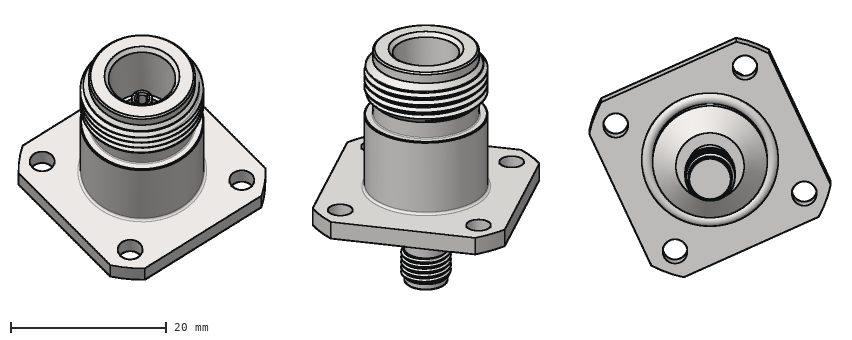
import cadquery as cq
import math

TOTAL_HEIGHT = 33.53

FLANGE_WIDTH = 25.4
FLANGE_CORNER_RADIUS = 15.9
FLANGE_BOTTOM = 11.25
FLANGE_THICKNESS = 2.4
FLANGE_TOP = FLANGE_BOTTOM + FLANGE_THICKNESS
MOUNTING_HOLE_DIAMETER = 3.2
MOUNTING_HOLE_SPACING = 18.27

BARREL_RADIUS = 7.95
BARREL_TOP = 24.1
BARREL_EDGE_CHAMFER = 0.15
BARREL_BASE_FILLET = 0.35
SLEEVE_RADIUS = 6.85
SLEEVE_BASE_FILLET = 0.15
SLEEVE_EDGE_CHAMFER = 0.25

LARGE_THREAD_BOTTOM = 26.4
LARGE_THREAD_TOP = 32.05
LARGE_THREAD_PITCH = 1.055
LARGE_THREAD_ROOT_RADIUS = 7.35
LARGE_THREAD_CREST_WIDTH = 0.15
LARGE_THREAD_CREST_HEIGHT = 27.8

SOCKET_MOUTH_RADIUS = 4.83
SOCKET_CHAMFER = 0.55
SOCKET_TOP_RADIUS = SOCKET_MOUTH_RADIUS - SOCKET_CHAMFER
SOCKET_SHOULDER_RADIUS = 4.02
SOCKET_SHOULDER_DEPTH = 9.0
SOCKET_BORE_RADIUS = 3.5
SOCKET_DEPTH = 13.4

CONTACT_RADIUS = 1.3
CONTACT_TIP_DEPTH = 4.7
CONTACT_HOLE_RADIUS = 0.75
CONTACT_HOLE_DEPTH = 4.02
CONTACT_HOLE_CHAMFER = 0.25
CONTACT_SLOT_WIDTH = 0.1
CONTACT_SLOT_DEPTH = 3.35

HUB_RADIUS = 7.38
HUB_BOTTOM = 9.95
CONE_END_RADIUS = 4.4
CONE_BOTTOM = 7.4

NECK_RADIUS = 2.8
NECK_END_CHAMFER = 0.17
SMALL_THREAD_BOTTOM = 0.87
SMALL_THREAD_TOP = 4.65
SMALL_THREAD_PITCH = 0.7
SMALL_THREAD_RADIUS = 3.22
SMALL_THREAD_ROOT_RADIUS = 2.85
SMALL_THREAD_CREST_WIDTH = 0.1
SMALL_THREAD_CREST_HEIGHT = 1.07

THREAD_FLANK_ANGLE = 30.0
THREAD_SINK = 0.1

RING_SECTION_RADIUS = 0.7
RING_CENTRE_RADIUS = 8.08


def disc(radius, bottom, top):
    """Upright cylinder on the Z axis between two heights."""
    return cq.Workplane("XY").workplane(offset=bottom).circle(radius).extrude(top - bottom)


def revolve_outline(outline):
    """Turn a closed outline of (radius, height) points about the Z axis."""
    return cq.Workplane("XZ").polyline(outline).close().revolve(360, (0, 0, 0), (0, 1, 0))


def threaded_collar(bottom, top, crest_radius, root_radius, end_radius, pitch, crest_width, crest_height):
    """A collar with 45 degree ends that carries a right-handed helical thread."""
    flank_slope = math.tan(math.radians(THREAD_FLANK_ANGLE))
    base_radius = root_radius - THREAD_SINK
    crest_half_width = crest_width / 2
    base_half_width = crest_half_width + (crest_radius - base_radius) * flank_slope

    start = crest_height - math.ceil((crest_height - bottom) / pitch) * pitch
    turns = math.ceil((top - start) / pitch) + 0.5
    helix = cq.Wire.makeHelix(pitch, turns * pitch, base_radius, center=cq.Vector(0, 0, start))
    tooth = (
        cq.Workplane("XZ")
        .polyline([
            (base_radius, start - base_half_width),
            (crest_radius, start - crest_half_width),
            (crest_radius, start + crest_half_width),
            (base_radius, start + base_half_width),
        ])
        .close()
        .sweep(cq.Workplane(helix), isFrenet=True)
    )
    core = disc(root_radius, start - 2 * pitch, start + (turns + 2) * pitch)

    envelope_radius = crest_radius + THREAD_SINK
    end_length = envelope_radius - end_radius
    envelope = revolve_outline([
        (0, bottom),
        (end_radius, bottom),
        (envelope_radius, bottom + end_length),
        (envelope_radius, top - end_length),
        (end_radius, top),
        (0, top),
    ])
    return core.union(tooth).intersect(envelope)


def make_flange():
    square = (
        cq.Workplane("XY")
        .workplane(offset=FLANGE_BOTTOM)
        .rect(FLANGE_WIDTH, FLANGE_WIDTH)
        .extrude(FLANGE_THICKNESS)
    )
    flange = square.intersect(disc(FLANGE_CORNER_RADIUS, FLANGE_BOTTOM, FLANGE_TOP))
    return (
        flange.faces(">Z")
        .workplane(origin=(0, 0, FLANGE_TOP))
        .rect(MOUNTING_HOLE_SPACING, MOUNTING_HOLE_SPACING, forConstruction=True)
        .vertices()
        .hole(MOUNTING_HOLE_DIAMETER)
    )


def concave_fillet(radius, height, size):
    """Ring filling the corner between an upright cylinder and the face below it."""
    middle = size * (1 - math.sqrt(0.5))
    return (
        cq.Workplane("XZ")
        .moveTo(0, height)
        .lineTo(radius + size, height)
        .threePointArc((radius + middle, height + middle), (radius, height + size))
        .lineTo(0, height + size)
        .close()
        .revolve(360, (0, 0, 0), (0, 1, 0))
    )


def make_barrel():
    barrel = disc(BARREL_RADIUS, FLANGE_TOP, BARREL_TOP).faces(">Z").edges().chamfer(BARREL_EDGE_CHAMFER)
    sleeve = disc(SLEEVE_RADIUS, BARREL_TOP, TOTAL_HEIGHT).faces(">Z").edges().chamfer(SLEEVE_EDGE_CHAMFER)
    thread = threaded_collar(
        LARGE_THREAD_BOTTOM, LARGE_THREAD_TOP, BARREL_RADIUS, LARGE_THREAD_ROOT_RADIUS, SLEEVE_RADIUS,
        LARGE_THREAD_PITCH, LARGE_THREAD_CREST_WIDTH, LARGE_THREAD_CREST_HEIGHT,
    )
    return (
        barrel.union(sleeve)
        .union(concave_fillet(BARREL_RADIUS, FLANGE_TOP, BARREL_BASE_FILLET))
        .union(concave_fillet(SLEEVE_RADIUS, BARREL_TOP, SLEEVE_BASE_FILLET))
        .union(thread)
    )


def make_socket():
    """The hollow of the large connector: chamfered mouth, tapered bore and a narrower bore below."""
    floor = TOTAL_HEIGHT - SOCKET_DEPTH
    shoulder = TOTAL_HEIGHT - SOCKET_SHOULDER_DEPTH
    return revolve_outline([
        (0, floor),
        (SOCKET_BORE_RADIUS, floor),
        (SOCKET_BORE_RADIUS, shoulder),
        (SOCKET_SHOULDER_RADIUS, shoulder),
        (SOCKET_TOP_RADIUS, TOTAL_HEIGHT - SOCKET_CHAMFER),
        (SOCKET_MOUTH_RADIUS, TOTAL_HEIGHT),
        (0, TOTAL_HEIGHT),
    ])


def make_contact():
    """Centre contact with a countersunk hole and two crossing slots that split its tip in four."""
    tip = TOTAL_HEIGHT - CONTACT_TIP_DEPTH
    contact = disc(CONTACT_RADIUS, TOTAL_HEIGHT - SOCKET_DEPTH, tip)
    hole = revolve_outline([
        (0, tip - CONTACT_HOLE_DEPTH),
        (CONTACT_HOLE_RADIUS, tip - CONTACT_HOLE_DEPTH),
        (CONTACT_HOLE_RADIUS, tip - CONTACT_HOLE_CHAMFER),
        (CONTACT_HOLE_RADIUS + CONTACT_HOLE_CHAMFER, tip),
        (0, tip),
    ])
    contact = contact.cut(hole)
    slot = (
        cq.Workplane("XY")
        .workplane(offset=tip - CONTACT_SLOT_DEPTH)
        .rect(2 * CONTACT_RADIUS, CONTACT_SLOT_WIDTH)
        .extrude(CONTACT_SLOT_DEPTH)
    )
    for angle in (0, 90):
        contact = contact.cut(slot.rotate((0, 0, 0), (0, 0, 1), angle))
    return contact


def make_small_connector():
    """Hub, cone and threaded neck below the flange."""
    stem = revolve_outline([
        (0, 0),
        (NECK_RADIUS - NECK_END_CHAMFER, 0),
        (NECK_RADIUS, NECK_END_CHAMFER),
        (NECK_RADIUS, CONE_BOTTOM),
        (CONE_END_RADIUS, CONE_BOTTOM),
        (HUB_RADIUS, HUB_BOTTOM),
        (HUB_RADIUS, FLANGE_BOTTOM),
        (0, FLANGE_BOTTOM),
    ])
    thread = threaded_collar(
        SMALL_THREAD_BOTTOM, SMALL_THREAD_TOP, SMALL_THREAD_RADIUS, SMALL_THREAD_ROOT_RADIUS, NECK_RADIUS,
        SMALL_THREAD_PITCH, SMALL_THREAD_CREST_WIDTH, SMALL_THREAD_CREST_HEIGHT,
    )
    return stem.union(thread)


def make_sealing_ring():
    return (
        cq.Workplane("XZ")
        .center(RING_CENTRE_RADIUS, FLANGE_BOTTOM)
        .circle(RING_SECTION_RADIUS)
        .revolve(360, (-RING_CENTRE_RADIUS, 0, 0), (-RING_CENTRE_RADIUS, 1, 0))
    )


def make_housing():
    """Flange, both connectors and the centre contact, grooved for the sealing ring."""
    shell = make_flange().union(make_barrel()).cut(make_socket())
    return shell.union(make_contact()).union(make_small_connector()).cut(make_sealing_ring())


housing = make_housing()
sealing_ring = make_sealing_ring()

result = cq.Compound.makeCompound([housing.val(), sealing_ring.val()])